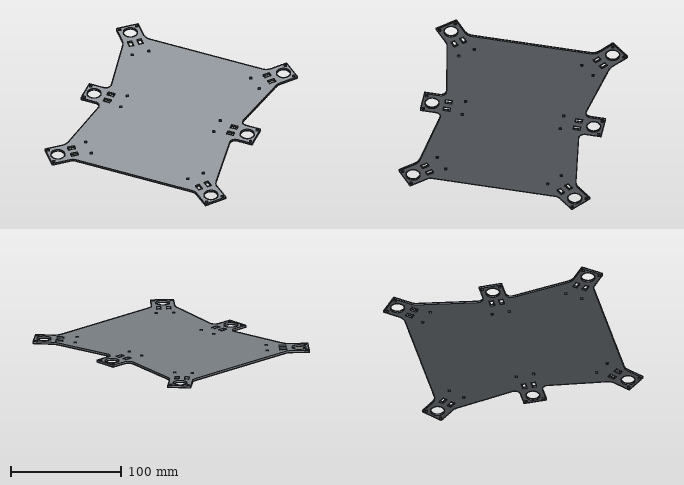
import cadquery as cq
import math

overall_width = 176.9
overall_length = 205.5
thickness = 2.0
top_edge_y = 87.0
bottom_edge_y = -90.0

upper_waist, upper_taper = 61.5, 0.19
lower_waist, lower_taper = 61.6, 0.15

arm_half_width = 10.5
arm_end = 8.8
upper_arm_angle = 50
lower_arm_angle = upper_arm_angle - 90

angle_cos = math.cos(math.radians(upper_arm_angle))
angle_sin = math.sin(math.radians(upper_arm_angle))
sideways_reach = arm_end * angle_cos + arm_half_width * angle_sin
upper_reach = arm_end * angle_sin + arm_half_width * angle_cos
lower_reach = sideways_reach
motor_x = overall_width / 2 - sideways_reach
corner_motor_y = (overall_length - upper_reach - lower_reach) / 2

motor_hole_diameter = 12.7
screw_diameter = 2.3
screw_side = 8.0
outer_screw_out = 6.4
inner_screw_out = -29.4
slot_length = 6.4
slot_width = 4.0
slot_out = -14.5
slot_side = 4.5

corner_fillet = 10.0
bottom_edge_fillet = 6.2
middle_arm_fillet = 5.1

upper_arm = (motor_x, corner_motor_y, upper_arm_angle)
middle_arm = (motor_x, 0, 0)
lower_arm = (motor_x, -corner_motor_y, lower_arm_angle)


def on_arm(arm, out, side):
    """Plate coordinates of a point given in the frame of an arm."""
    x, y, angle = arm
    c = math.cos(math.radians(angle))
    s = math.sin(math.radians(angle))
    return (x + out * c - side * s, y + out * s + side * c)


def arm_meets_edge(arm, side, edge_y):
    """Point where a long side of an arm reaches a horizontal plate edge."""
    x, y = on_arm(arm, arm_end, side)
    slope = math.tan(math.radians(arm[2]))
    return (x + (edge_y - y) / slope, edge_y)


def arm_meets_taper(arm, side, waist, taper):
    """Point where a long side of an arm reaches the tapered side x = waist + taper * y."""
    x, y = on_arm(arm, arm_end, side)
    slope = math.tan(math.radians(arm[2]))
    root_x = (waist + taper * (y - slope * x)) / (1 - taper * slope)
    return (root_x, y + slope * (root_x - x))


def arm_tip(arm):
    """Outer corners of an arm, upper one first."""
    return [on_arm(arm, arm_end, arm_half_width), on_arm(arm, arm_end, -arm_half_width)]


top_root = arm_meets_edge(upper_arm, arm_half_width, top_edge_y)
upper_root = arm_meets_taper(upper_arm, -arm_half_width, upper_waist, upper_taper)
middle_upper_root = arm_meets_taper(middle_arm, arm_half_width, upper_waist, upper_taper)
middle_lower_root = arm_meets_taper(middle_arm, -arm_half_width, lower_waist, -lower_taper)
lower_root = arm_meets_taper(lower_arm, arm_half_width, lower_waist, -lower_taper)
bottom_root = arm_meets_edge(lower_arm, -arm_half_width, bottom_edge_y)

right_half = [
    top_root, *arm_tip(upper_arm), upper_root,
    middle_upper_root, *arm_tip(middle_arm), middle_lower_root,
    lower_root, *arm_tip(lower_arm), bottom_root,
]
left_half = [(-x, y) for x, y in reversed(right_half)]
result = cq.Workplane("XY").polyline(right_half + left_half).close().extrude(thickness)

root_fillets = [
    (top_root, corner_fillet),
    (upper_root, corner_fillet),
    (middle_upper_root, middle_arm_fillet),
    (middle_lower_root, middle_arm_fillet),
    (lower_root, corner_fillet),
    (bottom_root, bottom_edge_fillet),
]
for (root_x, root_y), radius in root_fillets:
    for x in (root_x, -root_x):
        nearest = cq.NearestToPointSelector((x, root_y, thickness / 2))
        result = result.edges("|Z").edges(nearest).fillet(radius)


def arm_openings(arm):
    """Cutter for the motor hole, four screw holes and two rectangular slots of one arm."""
    screw_points = []
    for out in (outer_screw_out, inner_screw_out):
        screw_points += [(out, screw_side), (out, -screw_side)]
    motor_hole = cq.Workplane("XY").circle(motor_hole_diameter / 2).extrude(thickness)
    screw_holes = (
        cq.Workplane("XY")
        .pushPoints(screw_points)
        .circle(screw_diameter / 2)
        .extrude(thickness)
    )
    slots = (
        cq.Workplane("XY")
        .pushPoints([(slot_out, slot_side), (slot_out, -slot_side)])
        .rect(slot_length, slot_width)
        .extrude(thickness)
    )
    x, y, angle = arm
    cutter = motor_hole.add(screw_holes).add(slots).combine()
    return cutter.rotate((0, 0, 0), (0, 0, 1), angle).translate((x, y, 0))


for arm in (upper_arm, middle_arm, lower_arm):
    openings = arm_openings(arm)
    result = result.cut(openings).cut(openings.mirror("YZ"))